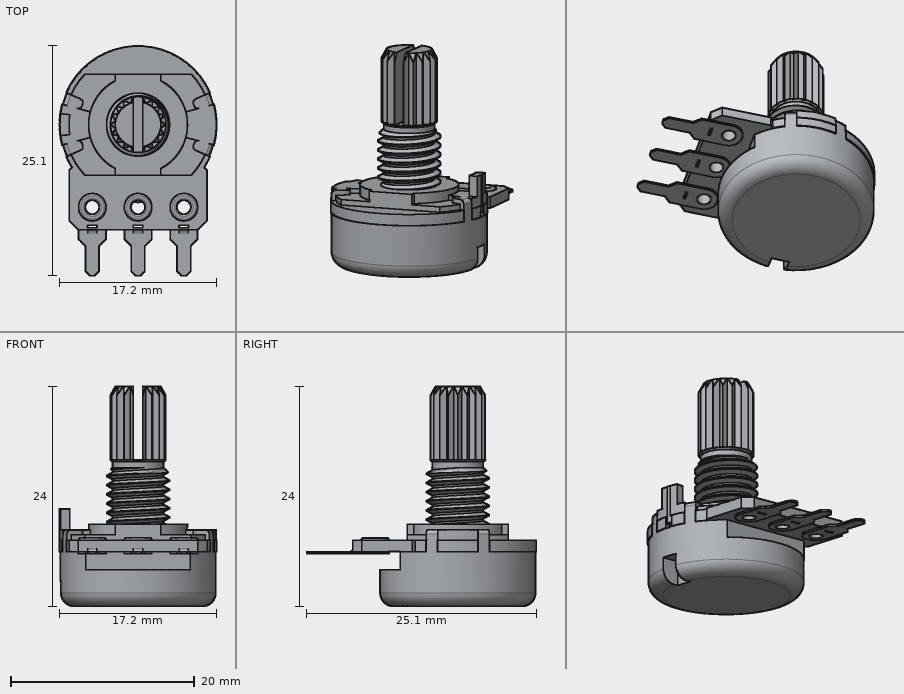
import cadquery as cq
import math

cut_margin = 0.25

overall_depth = 25.1

notch_height = 2.74
front_flat_height = 4.02
board_bottom = 5.97
board_thickness = 1.25
board_top = board_bottom + board_thickness
plate_top = 7.83
wedge_top = 8.35
washer_top = 8.99
key_top = 10.65
collar_top = 15.76
spline_bottom = 16.0
shaft_top = 24.0
thread_top = 15.14

can_radius = 17.0 / 2
can_fillet = 1.5
can_flat = 6.3
notch_width = 1.98

plate_radius = 8.0
plate_half_depth = 5.52
washer_radius = 5.4
washer_bar_width = 4.95
wedge_radius = 8.53
wedge_half_angle = 15.0

clip_angle = 9.0
clip_center_angle = wedge_half_angle + clip_angle / 2
clip_angles = [side + turn for side in (0, 180) for turn in (-clip_center_angle, clip_center_angle)]
clip_inner_radius = 6.45
clip_bend_radius = 0.45
clip_end_radius = 0.43

key_half_angle = 8.2
key_inner_radius = 7.53
pin_radius = 0.5
pin_bottom = 6.45
pin_slot_half_width = 0.48
pin_slot_inner = 8.03

board_radius = 17.2 / 2
board_half_width = 7.53
board_front = 11.47
board_chamfer = 1.0
board_shoulder = 4.97
board_neck_width = 7.23

terminal_spacing = 5.0
terminal_thickness = 0.23
terminal_tip = overall_depth - board_radius
terminal_half_width = 1.5
leg_half_width = 0.75
terminal_shoulder = 12.5
tip_chamfer = 0.5
eyelet_setback = 9.0
eyelet_radius = 1.5
eyelet_hole_diameter = 1.5
eyelet_height = 0.25
eyelet_rounding = 0.23
strap_width = 1.0
strap_thickness = 0.23
strap_hole_back = 11.0
strap_fillet = 0.3

collar_radius = 5.6 / 2
thread_radius = 6.88 / 2
thread_pitch = 1.0
thread_start = 7.7
thread_turns = 8
thread_half_base = 0.43
thread_half_crest = 0.038
thread_overlap = 0.08
spline_count = 18
spline_crest_radius = 3.04
spline_root_radius = 2.45
shaft_end_radius = 2.48
shaft_chamfer_height = 0.98
slot_width = 1.0


def disc(radius, bottom, top):
    return cq.Workplane("XY").workplane(offset=bottom).circle(radius).extrude(top - bottom)


def block(x_min, x_max, y_min, y_max, z_min, z_max):
    size = (x_max - x_min, y_max - y_min, z_max - z_min)
    return cq.Workplane("XY").box(*size, centered=False).translate((x_min, y_min, z_min))


def ring_sector(inner, outer, half_angle, bottom, top):
    """Part of a ring, centred on the +X axis."""
    angle = math.radians(half_angle)
    c, s = math.cos(angle), math.sin(angle)
    return (
        cq.Workplane("XY").workplane(offset=bottom)
        .moveTo(inner * c, -inner * s)
        .lineTo(outer * c, -outer * s)
        .threePointArc((outer, 0), (outer * c, outer * s))
        .lineTo(inner * c, inner * s)
        .threePointArc((inner, 0), (inner * c, -inner * s))
        .close()
        .extrude(top - bottom)
    )


def turned(shape, angle):
    return shape.rotate((0, 0, 0), (0, 0, 1), angle)


def make_wedge():
    return ring_sector(washer_radius - cut_margin, wedge_radius, wedge_half_angle, board_top, wedge_top)


def make_clip_region():
    """Space taken by one clip: a leg up the can wall and a round-ended finger on the plate."""
    half = clip_angle / 2
    outer = can_radius + cut_margin
    finger = ring_sector(clip_inner_radius, outer, half, plate_top, wedge_top)
    finger = finger.edges("|Z and <X").fillet(clip_end_radius)
    return finger.union(ring_sector(plate_radius, outer, half, board_top, wedge_top))


def make_clip_bend():
    """Waste outside the rounded bend of one clip."""
    start = can_radius - clip_bend_radius
    outer = can_radius + cut_margin
    return (
        cq.Workplane("XZ")
        .moveTo(start, wedge_top)
        .radiusArc((can_radius, wedge_top - clip_bend_radius), clip_bend_radius)
        .lineTo(outer, wedge_top - clip_bend_radius)
        .lineTo(outer, wedge_top + cut_margin)
        .lineTo(start, wedge_top + cut_margin)
        .close()
        .revolve(clip_angle, (0, 0, 0), (0, 1, 0))
        .rotate((0, 0, 0), (0, 0, 1), -clip_angle / 2)
    )


def make_can():
    """Can with the clips standing up from its rim."""
    can = disc(can_radius, 0, wedge_top).faces("<Z").edges().fillet(can_fillet)
    waste = disc(can_radius + cut_margin, board_top, wedge_top)
    clip = make_clip_region()
    for angle in clip_angles:
        waste = waste.cut(turned(clip, angle))
    can = can.cut(waste)
    bend = make_clip_bend()
    for angle in clip_angles:
        can = can.cut(turned(bend, angle))
    can = can.cut(block(-can_radius, can_radius, -can_radius, -can_flat, front_flat_height, board_bottom))
    half = notch_width / 2
    return can.cut(block(-can_radius, -can_flat, -half, half, 0, notch_height))


def make_board():
    neck_drop = board_half_width - board_neck_width
    tab = (
        cq.Workplane("XY").workplane(offset=board_bottom)
        .moveTo(-board_neck_width, 0)
        .lineTo(-board_neck_width, neck_drop - board_shoulder)
        .lineTo(-board_half_width, -board_shoulder)
        .lineTo(-board_half_width, board_chamfer - board_front)
        .lineTo(board_chamfer - board_half_width, -board_front)
        .lineTo(0, -board_front)
        .lineTo(0, 0)
        .close()
        .extrude(board_thickness)
    )
    board = disc(board_radius, board_bottom, board_top).union(tab).union(tab.mirror("YZ"))
    clearance = ring_sector(plate_radius, board_radius + cut_margin, clip_angle / 2, board_bottom, board_top)
    for angle in clip_angles:
        board = board.cut(turned(clearance, angle))
    return board


def make_washer():
    depth = block(-can_radius, can_radius, -plate_half_depth, plate_half_depth, board_top, washer_top)
    plate = disc(plate_radius, board_top, plate_top).intersect(depth)
    half_bar = washer_bar_width / 2
    bar = block(-half_bar, half_bar, -plate_half_depth, plate_half_depth, plate_top, washer_top)
    return plate.union(disc(washer_radius, plate_top, washer_top)).union(bar)


def make_key():
    key = turned(ring_sector(key_inner_radius, wedge_radius, key_half_angle, board_top, key_top), 180)
    pin = disc(pin_radius, pin_bottom, key_top).translate((pin_radius - board_radius, 0, 0))
    return key.union(pin)


def make_terminal(x):
    shoulder_end = terminal_half_width - leg_half_width + terminal_shoulder
    half_tip = leg_half_width - tip_chamfer
    half_outline = [
        (terminal_half_width, -eyelet_setback),
        (terminal_half_width, -terminal_shoulder),
        (leg_half_width, -shoulder_end),
        (leg_half_width, tip_chamfer - terminal_tip),
        (half_tip, -terminal_tip),
    ]
    mirrored = [(-px, py) for px, py in reversed(half_outline)]
    bottom = board_bottom - terminal_thickness
    blade = (
        cq.Workplane("XY").workplane(offset=bottom)
        .polyline(half_outline + mirrored).close()
        .extrude(terminal_thickness)
    )
    blade = blade.union(disc(eyelet_radius, bottom, board_bottom).translate((0, -eyelet_setback, 0)))
    bend = (
        cq.Workplane("YZ").workplane(offset=-strap_width / 2)
        .moveTo(-board_front, board_bottom)
        .lineTo(-board_front, board_bottom + strap_fillet)
        .radiusArc((-board_front - strap_fillet, board_bottom), strap_fillet)
        .close()
        .extrude(strap_width)
    )
    return blade.union(bend).translate((x, 0, 0))


def make_eyelet(x):
    hole_radius = eyelet_hole_diameter / 2
    eyelet = disc(eyelet_radius, board_top, board_top + eyelet_height)
    eyelet = eyelet.cut(disc(hole_radius, board_top, board_top + eyelet_height))
    eyelet = eyelet.faces(">Z").edges().fillet(eyelet_rounding)
    return eyelet.translate((x, -eyelet_setback, 0))


def make_terminal_openings(x):
    """The eyelet hole and the hole behind the upright strap."""
    bottom = board_bottom - terminal_thickness
    hole = disc(eyelet_hole_diameter / 2, bottom, board_top).translate((x, -eyelet_setback, 0))
    half = strap_width / 2
    strap_back = strap_thickness - board_front
    return hole.union(block(x - half, x + half, strap_back, -strap_hole_back, bottom, board_top))


def make_thread():
    helix = cq.Wire.makeHelix(thread_pitch, thread_pitch * thread_turns, collar_radius)
    root = collar_radius - thread_overlap
    ridge = (
        cq.Workplane("XZ")
        .polyline([
            (root, -thread_half_base),
            (thread_radius, -thread_half_crest),
            (thread_radius, thread_half_crest),
            (root, thread_half_base),
        ])
        .close()
        .sweep(cq.Workplane(helix), isFrenet=True)
        .translate((0, 0, thread_start))
    )
    envelope_radius = thread_radius + cut_margin
    chamfer = envelope_radius - collar_radius
    envelope = (
        cq.Workplane("XZ")
        .polyline([
            (0, plate_top),
            (envelope_radius, plate_top),
            (envelope_radius, thread_top - chamfer),
            (collar_radius, thread_top),
            (0, thread_top),
        ])
        .close()
        .revolve(360, (0, 0, 0), (0, 1, 0))
    )
    return ridge.intersect(envelope)


def make_shaft():
    shank = (
        cq.Workplane("XZ")
        .polyline([
            (0, plate_top),
            (collar_radius, plate_top),
            (collar_radius, collar_top),
            (spline_crest_radius, spline_bottom),
            (0, spline_bottom),
        ])
        .close()
        .revolve(360, (0, 0, 0), (0, 1, 0))
    )
    star = []
    for i in range(2 * spline_count):
        radius = spline_root_radius if i % 2 else spline_crest_radius
        angle = math.pi * i / spline_count
        star.append((radius * math.cos(angle), radius * math.sin(angle)))
    spline = (
        cq.Workplane("XY").workplane(offset=spline_bottom)
        .polyline(star).close()
        .extrude(shaft_top - spline_bottom)
    )
    tip = disc(spline_crest_radius, spline_bottom, shaft_top)
    tip = tip.faces(">Z").edges().chamfer(shaft_chamfer_height, spline_crest_radius - shaft_end_radius)
    half_slot = slot_width / 2
    reach = spline_crest_radius
    slot = block(-half_slot, half_slot, -reach, reach, spline_bottom, shaft_top)
    return shank.union(spline.intersect(tip).cut(slot))


body = make_can().union(make_board()).union(make_washer())
for side in (0, 180):
    body = body.union(turned(make_wedge(), side))
body = body.cut(
    block(-board_radius, -pin_slot_inner, -pin_slot_half_width, pin_slot_half_width, board_bottom, board_top)
)
body = body.union(make_key())

for x in (-terminal_spacing, 0, terminal_spacing):
    body = body.union(make_terminal(x)).union(make_eyelet(x))
    body = body.cut(make_terminal_openings(x))

result = body.union(make_shaft()).union(make_thread())